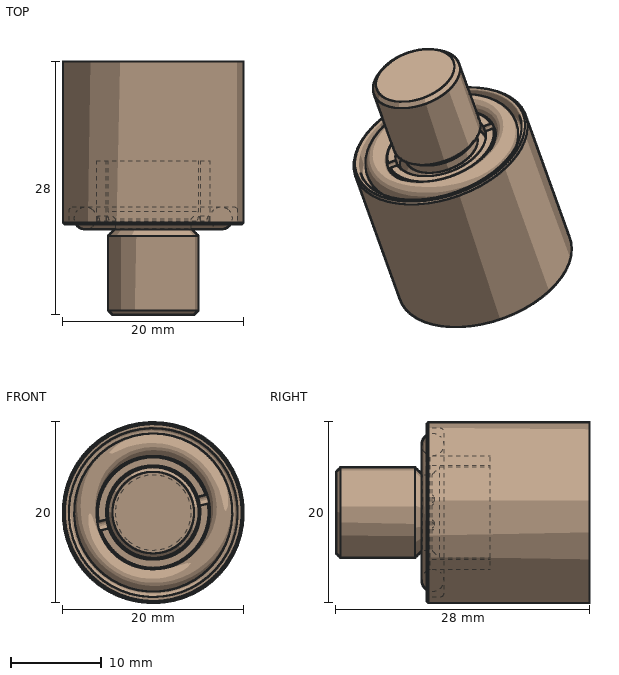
import cadquery as cq


TOTAL_LENGTH = 28.0

PIN_RADIUS = 5.0
PIN_REACH = 10.0
TIP_CHAMFER = 0.5
NECK_RADIUS = 4.17
NECK_BEVEL = PIN_RADIUS - NECK_RADIUS
NECK_FRONT = -0.45
NECK_BACK = 0.6

SEAL_CORD_RADIUS = 1.23
SEAL_MEAN_RADIUS = 7.5
SEAL_PROTRUSION = 0.55
SEAL_CENTRE = SEAL_CORD_RADIUS - SEAL_PROTRUSION

COLLAR_RADIUS = SEAL_MEAN_RADIUS - SEAL_CORD_RADIUS
COLLAR_BORE_RADIUS = 5.2
COLLAR_FRONT = 0.2
COLLAR_CHAMFER = 0.17
SLOT_RADIUS = 0.5
SLOT_WALL = 0.2
SLOT_ANGLE = 14.0

HOUSING_RADIUS = 10.0
HOUSING_LENGTH = TOTAL_LENGTH - PIN_REACH
RIM_CHAMFER = 0.22
RECESS_RADIUS = 9.32
RECESS_LIP_RADIUS = 0.2
RECESS_FILLET = 0.4
RECESS_DEPTH = SEAL_CENTRE + SEAL_CORD_RADIUS
BORE_DEPTH = 7.0


def disc(radius, y_front, y_back):
    """Solid cylinder on the Y axis between two Y positions."""
    return cq.Workplane("XZ", origin=(0, y_back, 0)).circle(radius).extrude(y_back - y_front)


def make_housing():
    """Round body with a rounded seal recess and a blind bore in its front."""
    body = disc(HOUSING_RADIUS, 0, HOUSING_LENGTH).faces("<Y").chamfer(RIM_CHAMFER)
    recess = disc(RECESS_RADIUS, 0, RECESS_DEPTH).faces(">Y").edges().fillet(RECESS_FILLET)
    body = body.cut(recess)
    inner_rim_edge = body.faces("<Y").edges(cq.selectors.RadiusNthSelector(0))
    body = inner_rim_edge.fillet(RECESS_LIP_RADIUS)
    return body.cut(disc(COLLAR_RADIUS, 0, BORE_DEPTH))


def make_seal():
    """O-ring lying between the collar and the recess wall."""
    centre = cq.Vector(0, SEAL_CENTRE, 0)
    axis = cq.Vector(0, 1, 0)
    return cq.Workplane(cq.Solid.makeTorus(SEAL_MEAN_RADIUS, SEAL_CORD_RADIUS, centre, axis))


def make_collar():
    """Ring around the pin with a driver slot across its front face."""
    ring = disc(COLLAR_RADIUS, COLLAR_FRONT, BORE_DEPTH).faces("<Y").chamfer(COLLAR_CHAMFER)
    ring = ring.cut(disc(COLLAR_BORE_RADIUS, COLLAR_FRONT, BORE_DEPTH))
    slot_bottom = (
        cq.Workplane("YZ", origin=(0, COLLAR_FRONT + SLOT_WALL, 0))
        .circle(SLOT_RADIUS)
        .extrude(COLLAR_RADIUS, both=True)
    )
    slot_mouth = (
        cq.Workplane("XY", origin=(0, COLLAR_FRONT + SLOT_WALL / 2, 0))
        .box(2 * COLLAR_RADIUS, SLOT_WALL, 2 * SLOT_RADIUS)
    )
    slot = slot_bottom.union(slot_mouth).rotate((0, 0, 0), (0, -1, 0), SLOT_ANGLE)
    return ring.cut(slot)


def make_pin():
    """Turned pin with a chamfered tip and a bevelled neck at the collar."""
    profile = [
        (0, -PIN_REACH),
        (PIN_RADIUS - TIP_CHAMFER, -PIN_REACH),
        (PIN_RADIUS, -PIN_REACH + TIP_CHAMFER),
        (PIN_RADIUS, NECK_FRONT - NECK_BEVEL),
        (NECK_RADIUS, NECK_FRONT),
        (NECK_RADIUS, NECK_BACK),
        (PIN_RADIUS, NECK_BACK + NECK_BEVEL),
        (PIN_RADIUS, BORE_DEPTH),
        (0, BORE_DEPTH),
    ]
    return cq.Workplane("XY").polyline(profile).close().revolve(360, (0, 0, 0), (0, 1, 0))


housing = make_housing()
seal = make_seal()
collar = make_collar()
pin = make_pin()

result = cq.Compound.makeCompound([housing.val(), seal.val(), collar.val(), pin.val()])